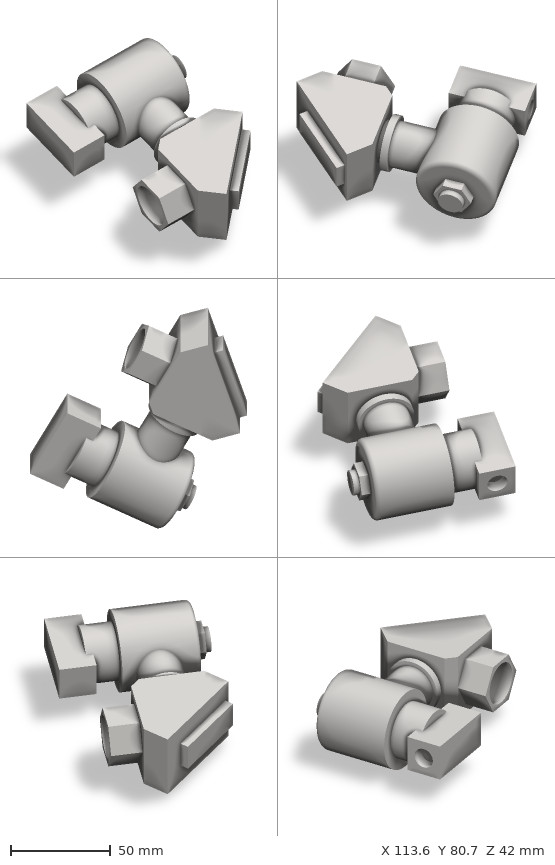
import cadquery as cq
import math


barrel_diameter = 42.0
barrel_front = -19.0
barrel_back = 21.4
barrel_round = 2.4
branch_diameter = 24.0
flange_diameter = 29.1
flange_start = 37.8
flange_end = 41.6
spigot_diameter = 22.0

pin_diameter = 13.0
pin_back = 29.1
nut_back = 26.0
nut_flats = 17.0
stem_diameter = 30.0
stem_gap = 0.3
stem_front = -35.9
block_length = 40.0
block_side = 19.0
block_front = -51.0
block_hole_diameter = 10.6
block_hole_depth = 6.4

housing_left = 44.2
housing_height = 36.0
port_offset = 20.0
side_length = 38.2
end_step = 10.2
corner_chamfer = 4.8
cover_length = 40.0
cover_height = 14.3
cover_thickness = 4.4
cover_margin = 2.5
hex_flats = 26.0
hex_length = 16.0
hex_bore_diameter = 22.0
hex_bore_depth = 12.5


def y_plane(y, x=0):
    """Plane at the given Y whose normal is +Y and whose local x is +X."""
    return cq.Plane(origin=(x, y, 0), xDir=(1, 0, 0), normal=(0, 1, 0))


def cylinder_y(diameter, y_start, y_end, x=0):
    return cq.Workplane(y_plane(y_start, x)).circle(diameter / 2).extrude(y_end - y_start)


def cylinder_x(diameter, x_start, x_end, y=0):
    return (
        cq.Workplane("YZ", origin=(x_start, y, 0))
        .circle(diameter / 2)
        .extrude(x_end - x_start)
    )


def hexagon_y(flats, y_start, y_end, x=0):
    """Hexagonal prism along Y with two corners pointing along X."""
    corners = flats / math.cos(math.pi / 6)
    return cq.Workplane(y_plane(y_start, x)).polygon(6, corners).extrude(y_end - y_start)


def make_barrel():
    barrel = cylinder_y(barrel_diameter, barrel_front, barrel_back)
    barrel = barrel.faces(">Y").edges().fillet(barrel_round)
    branch = cylinder_x(branch_diameter, 0, flange_start)
    flange = cylinder_x(flange_diameter, flange_start, flange_end)
    spigot = cylinder_x(spigot_diameter, flange_end, housing_left)
    pin_hole = cylinder_y(pin_diameter, barrel_front, barrel_back)
    return barrel.union(branch).union(flange).union(spigot).cut(pin_hole)


def make_clamp():
    block_center = block_front + block_side / 2
    block = cq.Workplane("XY").box(block_length, block_side, block_side)
    block = block.translate((0, block_center, 0))
    block_left = -block_length / 2
    hole = cylinder_x(
        block_hole_diameter, block_left, block_left + block_hole_depth, block_center
    )
    stem = cylinder_y(stem_diameter, stem_front, barrel_front - stem_gap)
    pin = cylinder_y(pin_diameter, stem_front, pin_back)
    nut = hexagon_y(nut_flats, barrel_back, nut_back)
    return block.cut(hole).union(stem).union(pin).union(nut)


def make_housing():
    front = -port_offset
    side_right = housing_left + side_length
    side_back = front + side_length
    back_peak = (housing_left + end_step, side_back + end_step)
    right_tip = (side_right + end_step, front + end_step)
    body = (
        cq.Workplane("XY", origin=(0, 0, -housing_height / 2))
        .moveTo(housing_left + corner_chamfer, front)
        .lineTo(side_right, front)
        .lineTo(*right_tip)
        .lineTo(*back_peak)
        .lineTo(housing_left, side_back)
        .lineTo(housing_left, front + corner_chamfer)
        .close()
        .extrude(housing_height)
    )

    slanted_face = cq.Plane(origin=(*back_peak, 0), xDir=(1, -1, 0), normal=(1, 1, 0))
    cover = (
        cq.Workplane(slanted_face)
        .center(cover_margin + cover_length / 2, 0)
        .rect(cover_length, cover_height)
        .extrude(cover_thickness)
    )

    port_x = housing_left + port_offset
    hex_front = front - hex_length
    port = hexagon_y(hex_flats, hex_front, front, port_x)
    bore = cylinder_y(hex_bore_diameter, hex_front, hex_front + hex_bore_depth, port_x)
    return body.union(cover).union(port).cut(bore)


barrel = make_barrel()
clamp = make_clamp()
housing = make_housing()

result = cq.Compound.makeCompound([barrel.val(), clamp.val(), housing.val()])